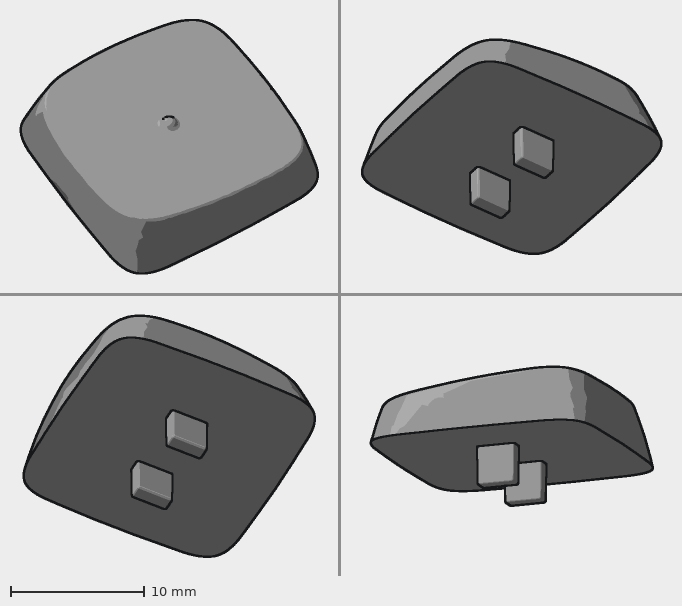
import cadquery as cq
import math

BASE_HALF_X = 8.995
BASE_HALF_Y = 9.0
SIDE_SLOPE = 0.13
SIDE_CURVE = 0.016
END_CURVE = 0.036
LOFT_HEIGHT = 5.4
SECTION_COUNT = 3

BASE_SIDE_RADIUS = 94.0
TOP_SIDE_RADIUS = 26.0
BASE_CORNER_RADIUS = 2.4
TOP_CORNER_RADIUS = 3.6

DISH_RADIUS = 60.0
DISH_CENTRE_HEIGHT = 3.61
DISH_TILT = math.degrees(math.atan(0.105))
DISH_LENGTH = 60.0
RIM_FILLET = 0.48

NUB_BALL_RADIUS = 0.64
NUB_FILLET = 0.61
NUB_HEIGHT = 0.6

LEG_SPACING = 5.7
LEG_THICKNESS = 1.18
LEG_ROOT_WIDTH = 3.05
LEG_TIP_WIDTH = 2.95
LEG_LENGTH = 3.0
LEG_FILLET = 0.2


def side_arc_drop(offset, radius):
    """Fall of a bulged side away from its middle."""
    return radius - math.sqrt(radius**2 - offset**2)


def arc_points(centre, radius, start, end):
    """First, middle and last point of an arc."""
    angles = (start, (start + end) / 2, end)
    return [(centre[0] + radius * math.cos(a), centre[1] + radius * math.sin(a)) for a in angles]


def section(height):
    """Closed outline of the skirt at one height, two smooth halves meeting at X = 0."""
    rise = height / LOFT_HEIGHT
    half_x = BASE_HALF_X - SIDE_SLOPE * height - SIDE_CURVE * height**2
    half_y = BASE_HALF_Y - END_CURVE * height**2
    side_radius = 1 / ((1 - rise) / BASE_SIDE_RADIUS + rise / TOP_SIDE_RADIUS)
    corner = BASE_CORNER_RADIUS + rise * (TOP_CORNER_RADIUS - BASE_CORNER_RADIUS)

    corner_x = half_x - corner - side_arc_drop(half_y - corner, side_radius)
    corner_y = half_y - corner - side_arc_drop(half_x - corner, side_radius)
    side_centre_x = half_x - side_radius
    rear_centre_y = half_y - side_radius
    start = math.atan2(corner_y, corner_x - side_centre_x)
    end = math.atan2(corner_y - rear_centre_y, corner_x)
    side = arc_points((side_centre_x, 0), side_radius, start / 3, start * 2 / 3)
    bend = arc_points((corner_x, corner_y), corner, start, end)
    back = arc_points((0, rear_centre_y), side_radius, end + (math.pi / 2 - end) / 3, math.pi / 2)
    quadrant = [(half_x, 0)] + side + bend + back

    right_front = [(x, -y) for x, y in reversed(quadrant[1:])]
    right = right_front + quadrant
    left = [(-x, -y) for x, y in right]
    outline = cq.Workplane("XY", origin=(0, 0, height))
    outline = outline.spline(right, tangents=[(1, 0), (-1, 0)])
    outline = outline.spline(left, tangents=[(-1, 0), (1, 0)])
    return outline.wire().val()


def skirt():
    """Smooth tapering block lofted through evenly spaced sections."""
    heights = [LOFT_HEIGHT * i / (SECTION_COUNT - 1) for i in range(SECTION_COUNT)]
    return cq.Workplane(cq.Solid.makeLoft([section(h) for h in heights]))


def dish():
    """Cylinder that hollows the top and slopes it down towards the rear."""
    cylinder = cq.Workplane("XZ").circle(DISH_RADIUS).extrude(DISH_LENGTH / 2, both=True)
    cylinder = cylinder.translate((0, 0, DISH_RADIUS))
    return cylinder.rotate((0, 0, 0), (1, 0, 0), -DISH_TILT).translate((0, 0, DISH_CENTRE_HEIGHT))


def with_nub(cap):
    """Add a ball in the middle of the dish and blend its foot into the surface."""
    ball_centre = (0, 0, DISH_CENTRE_HEIGHT + NUB_HEIGHT - NUB_BALL_RADIUS)
    ball = cq.Workplane("XY").sphere(NUB_BALL_RADIUS).translate(ball_centre)
    nubbed = cap.union(ball)
    foot = cq.selectors.NearestToPointSelector((0, 0, DISH_CENTRE_HEIGHT))
    return nubbed.edges(foot).fillet(NUB_FILLET)


def with_rounded_rim(cap):
    """Round the edge all around the dish."""
    dish_face = cap.faces(cq.selectors.NearestToPointSelector((0, 0, DISH_CENTRE_HEIGHT)))
    return dish_face.edges().fillet(RIM_FILLET)


def leg(x):
    """Leg that narrows slightly towards its tip, rounded on every edge but the root."""
    root = LEG_ROOT_WIDTH / 2
    tip = LEG_TIP_WIDTH / 2
    outline = [(-root, 0), (root, 0), (tip, -LEG_LENGTH), (-tip, -LEG_LENGTH)]
    blade = cq.Workplane("YZ", origin=(x, 0, 0)).polyline(outline).close()
    blade = blade.extrude(LEG_THICKNESS / 2, both=True)
    return blade.edges("not >Z").fillet(LEG_FILLET)


cap = with_rounded_rim(skirt().cut(dish()))
result = with_nub(cap)
for leg_x in (-LEG_SPACING / 2, LEG_SPACING / 2):
    result = result.union(leg(leg_x))